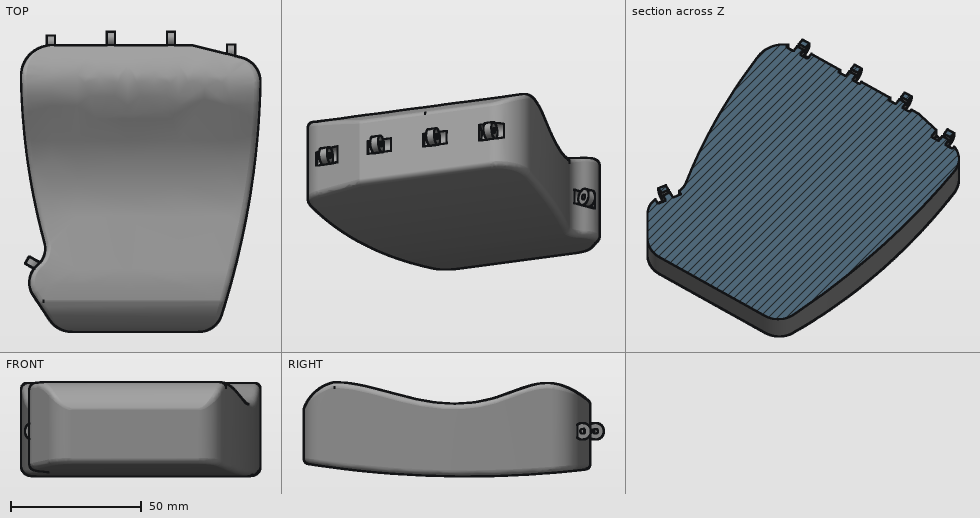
import cadquery as cq

edge_radius = 2.3

back_y = 52.3
front_y = -57.5
back_left = (-45.9, back_y)
back_bend = (19.5, back_y)
back_right = (45.9, 45.8)
right_side_middle = (42.2, -3.1)
front_right = (28.8, front_y)
front_left = (-32.0, front_y)
left_bump = (-45.4, -37.3)
left_notch = (-35.6, -28.2)
left_side_middle = (-43.9, 11.5)
corner_radii = [
    (back_left, 12.0),
    (back_right, 9.8),
    (front_right, 9.2),
    (front_left, 10.4),
    (left_bump, 8.6),
    (left_notch, 8.0),
]

prism_bottom_z = -5.8
prism_height = 51.8
middle_z = prism_bottom_z + prism_height / 2
profile_width = 115.0

crest_reach = 3.5

crest = (-45.7, 36.2)
front_top_z = 25.8
front_bulge = (-53.4, 32.2)
back_top_z = 28.4
saddle_points = [
    (-33.5, 34.6),
    (-22.3, 31.6),
    (-13.3, 29.4),
    (0.0, 28.0),
    (15.6, 30.1),
    (29.0, 34.8),
    (36.8, 35.9),
    (44.6, 33.7),
    (back_y, back_top_z),
]
back_bottom_z = 2.9
front_bottom_z = 5.1
underside_low = (4.5, 0.0)

hinge_back_y = 57.5
knuckle_radius = 3.2
knuckle_width = 3.2
pocket_width = 3 * knuckle_width
pin_hole_diameter = 1.8
knuckle_z = 17.4
knuckles = [
    (-34.5, 52.8, 0),
    (-11.5, hinge_back_y - knuckle_radius, 0),
    (11.5, hinge_back_y - knuckle_radius, 0),
    (34.5, 49.3, 0),
    (-40.8, -31.5, 60),
]


def plan_outline():
    """Plan prism with its corners rounded, drawn clockwise from the back left corner."""
    prism = (
        cq.Workplane("XY", origin=(0, 0, prism_bottom_z))
        .moveTo(*back_left)
        .lineTo(*back_bend)
        .lineTo(*back_right)
        .threePointArc(right_side_middle, front_right)
        .lineTo(*front_left)
        .lineTo(*left_bump)
        .lineTo(*left_notch)
        .threePointArc(left_side_middle, back_left)
        .close()
        .extrude(prism_height)
    )
    for corner, radius in corner_radii:
        prism = prism.edges(cq.selectors.NearestToPointSelector((*corner, middle_z))).fillet(radius)
    return prism


def side_profile():
    """Side shape carried across the full width, with the crest rounded."""
    profile = (
        cq.Workplane("YZ", origin=(-profile_width / 2, 0, 0))
        .moveTo(front_y, front_top_z)
        .threePointArc(front_bulge, crest)
        .spline(saddle_points, includeCurrent=True)
        .lineTo(back_y, back_bottom_z)
        .threePointArc(underside_low, (front_y, front_bottom_z))
        .close()
        .extrude(profile_width)
    )
    return profile.edges(cq.selectors.NearestToPointSelector((0, *crest))).fillet(edge_radius)


def cushion():
    """Plan and side shapes combined, with every rim edge rounded."""
    sharp = plan_outline().intersect(side_profile())
    crest_box = cq.selectors.BoxSelector(
        (-crest_reach, crest[0] - crest_reach, crest[1] - crest_reach),
        (crest_reach, crest[0] + crest_reach, crest[1] + crest_reach),
    )
    rim = cq.StringSyntaxSelector("not |Z") - crest_box
    return sharp.edges(rim).fillet(edge_radius)


def pin_cylinder(angle, radius, length):
    """Cylinder centred on the origin, its axis level and turned by angle from the X axis."""
    return (
        cq.Workplane("YZ", origin=(-length / 2, 0, 0))
        .circle(radius)
        .extrude(length)
        .rotate((0, 0, 0), (0, 0, 1), angle)
    )


def add_knuckle(body, x, y, angle):
    """Knuckle in the middle of a round hinge pocket that leaves one knuckle width free on each side."""
    place = (x, y, knuckle_z)
    pocket = pin_cylinder(angle, knuckle_radius, pocket_width)
    knuckle = pin_cylinder(angle, knuckle_radius, knuckle_width)
    hole = pin_cylinder(angle, pin_hole_diameter / 2, knuckle_width)
    gaps = pocket.cut(knuckle).translate(place)
    return body.cut(gaps).union(knuckle.translate(place)).cut(hole.translate(place))


result = cushion()
for knuckle_place in knuckles:
    result = add_knuckle(result, *knuckle_place)